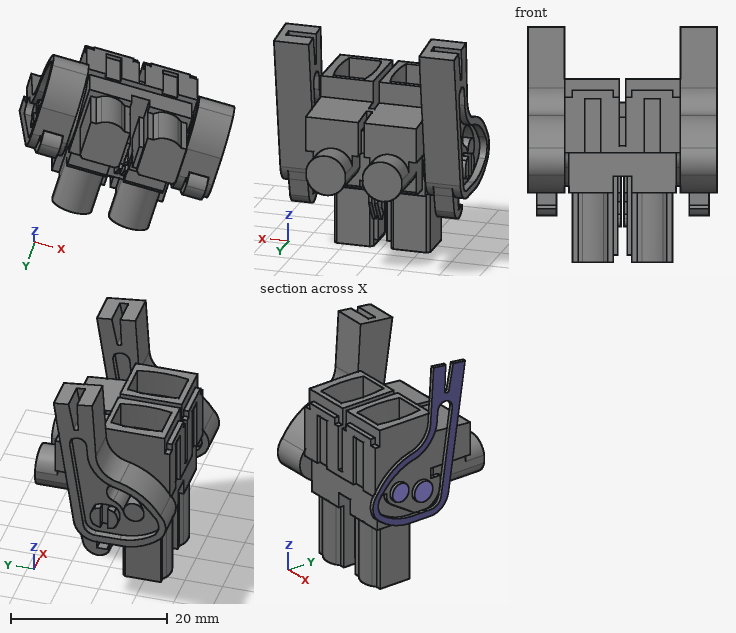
import cadquery as cq
import math


overall_width = 24.1
housing_width = 14.77
lever_width = (overall_width - housing_width) / 2
pole_offset = 3.78
pole_core_width = 5.22

flange_bottom = 0.9
base_bottom = 8.85
notch_top = 10.95
step_height = 13.95
pole_top = 23.4

base_width = 13.65
base_depth = 9.0
lip_width = 2 * pole_offset + pole_core_width
lip_rear = 11.38
lip_bottom = 9.73
lip_chamfer = 0.42
pole_rear = 8.23
block_rear = 14.55
block_bottom = 15.4
block_rear_top = 20.02
block_front_top = 20.55

front_plate_thickness = 0.7
front_plate_top = 21.05
front_tab_top = 21.95
recess_width = 2.0
recess_top = 20.83
recess_depth = 0.45

pole_gap = 0.78
gap_sill = 14.83
gap_floor = 14.4
front_wall_rear = 0.72
web_front = 10.12
web_rear = 11.0
web_bottom = 18.5
gap_rear_wall = 10.55
rear_gap_start = 13.2

wire_pocket_front = 0.78
wire_pocket_rear = 7.57
wire_pocket_end_width = 4.25
wire_pocket_mid_width = 4.98
wire_pocket_depth = 3.55

tube_rear = 17.55
tube_bottom = 10.8
tube_top = 16.15
tube_center_z = (tube_bottom + tube_top) / 2
tube_radius = (tube_top - tube_bottom) / 2

leg_rear = 5.9
leg_shoulder_y = 0.8
leg_arc_y = 0.45
leg_crest_y = 0.15
leg_bulge_half = 1.9
leg_arc_half = 1.32
leg_rear_chamfer = 0.4
notch_half = pole_offset - pole_core_width / 2
flange_thickness = 0.57
flange_front = 2.55

pivot_y = 6.7
pivot_z = 12.73
pivot_head_radius = 1.83
pivot_shaft_radius = 1.5
pivot_slot_width = 1.0
pivot_head_height = 3.05
pivot_head_crown = 3.15
spacer_pivot_radius = 3.03
spacer_guide_radius = 1.92
guide_radius = 1.35
guide_path_radius = 3.8
guide_start_angle = 165.0
guide_end_angle = 112.0

lever_pocket_depth = 1.0
finger_slot_depth = 3.65
finger_slot_mouth = 30.32
hook_inset = 1.1
hook_width = 2.55

plate_thickness = 0.42


def box(x_range, y_range, z_range):
    """Axis-aligned box between the given limits."""
    size = [high - low for low, high in (x_range, y_range, z_range)]
    corner = (x_range[0], y_range[0], z_range[0])
    return cq.Workplane("XY").box(*size, centered=False).translate(corner)


def side_sketch(x):
    """Sketch plane across X, with local coordinates (Y, Z)."""
    return cq.Workplane("YZ", origin=(x, 0, 0))


def centered(width, middle=0.0):
    """Limits of a width placed evenly about a middle."""
    return (middle - width / 2, middle + width / 2)


def disc(x_range, radius, y, z):
    """Cylinder along X between two X limits."""
    length = x_range[1] - x_range[0]
    return side_sketch(x_range[0]).center(y, z).circle(radius).extrude(length)


def guide_point(radius, angle):
    """Point (Y, Z) at a radius and angle about the pivot; 180 degrees is straight forward."""
    turn = math.radians(angle)
    return (pivot_y + radius * math.cos(turn), pivot_z + radius * math.sin(turn))


def housing_shell():
    """Upper pole block, narrower base, rear lip and rear block with a sloping top."""
    full = centered(housing_width)
    narrow = centered(base_width)
    poles = box(full, (0, pole_rear), (step_height, pole_top))
    base = box(narrow, (0, base_depth), (base_bottom, block_bottom))
    lip = box(centered(lip_width), (base_depth, lip_rear), (lip_bottom, block_bottom))
    lip = lip.faces(">Y").edges("<Z").chamfer(lip_chamfer)
    block = (
        side_sketch(full[0])
        .polyline([
            (pole_rear, block_bottom),
            (block_rear, block_bottom),
            (block_rear, block_rear_top),
            (pole_rear, block_front_top),
        ])
        .close()
        .extrude(housing_width)
    )
    return poles.union(base).union(lip).union(block)


def front_plate():
    """Raised front plate with a tab and a shallow recess on each pole."""
    depth = (-front_plate_thickness, 0)
    plate = box(centered(housing_width), depth, (step_height, front_plate_top))
    recess_range = (-front_plate_thickness, recess_depth - front_plate_thickness)
    for side in (-1, 1):
        middle = side * pole_offset
        plate = plate.union(box(centered(pole_core_width, middle), depth, (step_height, front_tab_top)))
        plate = plate.cut(box(centered(recess_width, middle), recess_range, (step_height, recess_top)))
    return plate


def pole_gap_cut():
    """Gap between the poles, leaving a web and a solid stretch behind it."""
    gap = centered(pole_gap)
    front = box(gap, (-front_plate_thickness, front_wall_rear), (gap_sill, pole_top))
    middle = box(gap, (front_wall_rear, web_front), (gap_floor, pole_top))
    under_web = box(gap, (web_front, gap_rear_wall), (gap_floor, web_bottom))
    behind_web = box(gap, (web_rear, block_rear), (web_bottom, pole_top))
    rear = box(gap, (rear_gap_start, block_rear), (block_bottom, pole_top))
    return front.union(middle).union(under_web).union(behind_web).union(rear)


def wire_pocket(middle):
    """Barrel-shaped wire entry in the top of a pole."""
    end_half = wire_pocket_end_width / 2
    mid_half = wire_pocket_mid_width / 2
    mid_y = (wire_pocket_front + wire_pocket_rear) / 2
    return (
        cq.Workplane("XY", origin=(middle, 0, pole_top - wire_pocket_depth))
        .moveTo(-end_half, wire_pocket_front)
        .lineTo(end_half, wire_pocket_front)
        .threePointArc((mid_half, mid_y), (end_half, wire_pocket_rear))
        .lineTo(-end_half, wire_pocket_rear)
        .threePointArc((-mid_half, mid_y), (-end_half, wire_pocket_front))
        .close()
        .extrude(wire_pocket_depth)
    )


def rear_tube(middle):
    """Flat-sided rear tube, with a straight neck joining it to the rear block."""
    width = centered(pole_core_width, middle)
    tube = (
        cq.Workplane("XZ", origin=(middle, tube_rear, tube_center_z))
        .circle(tube_radius)
        .extrude(tube_rear - base_depth)
        .intersect(box(width, (base_depth, tube_rear), (tube_bottom, tube_top)))
    )
    neck = box(width, (base_depth, block_rear), (tube_center_z, block_bottom))
    return tube.union(neck)


def plug_leg(middle):
    """Plug leg with a bulged front and chamfered rear corners."""
    half = pole_core_width / 2
    rear_corner = leg_rear - leg_rear_chamfer
    return (
        cq.Workplane("XY", origin=(middle, 0, 0))
        .moveTo(-half, leg_shoulder_y)
        .lineTo(-leg_bulge_half, leg_shoulder_y)
        .lineTo(-leg_arc_half, leg_arc_y)
        .threePointArc((0, leg_crest_y), (leg_arc_half, leg_arc_y))
        .lineTo(leg_bulge_half, leg_shoulder_y)
        .lineTo(half, leg_shoulder_y)
        .lineTo(half, rear_corner)
        .lineTo(half - leg_rear_chamfer, leg_rear)
        .lineTo(leg_rear_chamfer - half, leg_rear)
        .lineTo(-half, rear_corner)
        .close()
        .extrude(base_bottom)
    )


def leg_flange(side):
    """Thin flange on the inner side of a plug leg, running up into the notch."""
    inner = notch_half - flange_thickness
    x_range = sorted((side * inner, side * notch_half))
    return box(x_range, (flange_front, leg_rear - leg_rear_chamfer), (flange_bottom, notch_top))


def spacer_plate(x_range):
    """Plate rounded about the guide pin and the pivot, with vertical sides up to the pole block."""
    guide_y, guide_z = guide_point(guide_path_radius, guide_start_angle)
    lean = math.acos((spacer_pivot_radius - spacer_guide_radius) / guide_path_radius)
    tangent_turn = math.radians(guide_start_angle) + lean
    guide_arc_turn = (math.pi + tangent_turn) / 2

    def rim_point(y, z, radius, turn):
        return (y + radius * math.cos(turn), z + radius * math.sin(turn))

    return (
        side_sketch(x_range[0])
        .moveTo(guide_y - spacer_guide_radius, step_height)
        .lineTo(guide_y - spacer_guide_radius, guide_z)
        .threePointArc(
            rim_point(guide_y, guide_z, spacer_guide_radius, guide_arc_turn),
            rim_point(guide_y, guide_z, spacer_guide_radius, tangent_turn),
        )
        .lineTo(*rim_point(pivot_y, pivot_z, spacer_pivot_radius, tangent_turn))
        .threePointArc(
            (pivot_y, pivot_z - spacer_pivot_radius),
            (pivot_y + spacer_pivot_radius, pivot_z),
        )
        .lineTo(pivot_y + spacer_pivot_radius, step_height)
        .close()
        .extrude(x_range[1] - x_range[0])
    )


def snap_head(x_range):
    """Round head with a flattened, gently arched top and bottom, split by a vertical slot."""
    crown_shift = pivot_head_crown - pivot_head_height / 2
    head = disc(x_range, pivot_head_radius, pivot_y, pivot_z)
    for shift in (-crown_shift, crown_shift):
        head = head.intersect(disc(x_range, pivot_head_crown, pivot_y, pivot_z + shift))
    slot = box(x_range, centered(pivot_slot_width, pivot_y), centered(pivot_head_height, pivot_z))
    return head.cut(slot)


def lever_bearing(side):
    """Spacer, pivot and guide pin for one lever; the left pivot has a split snap head."""
    base_half = base_width / 2
    housing_half = housing_width / 2
    outer = overall_width / 2
    pin_end = outer - lever_pocket_depth if side < 0 else outer

    def span(start, end):
        return sorted((side * start, side * end))

    spacer = spacer_plate(span(base_half, housing_half))
    shaft = disc(span(base_half, pin_end), pivot_shaft_radius, pivot_y, pivot_z)
    guide = disc(span(base_half, pin_end), guide_radius, *guide_point(guide_path_radius, guide_start_angle))
    bearing = spacer.union(shaft).union(guide)
    if side < 0:
        bearing = bearing.union(snap_head(span(pin_end, outer)))
    return bearing


def make_housing():
    body = housing_shell().union(front_plate()).cut(pole_gap_cut())
    for side in (-1, 1):
        middle = side * pole_offset
        body = body.cut(wire_pocket(middle))
        body = body.union(rear_tube(middle)).union(plug_leg(middle))
    body = body.cut(box((-notch_half, notch_half), (0, lip_rear), (base_bottom, notch_top)))
    for side in (-1, 1):
        body = body.union(leg_flange(side)).union(lever_bearing(side))
    return body


def lever_outline(x):
    """Grip arm that widens into a rounded cam around the pivot."""
    return (
        side_sketch(x)
        .moveTo(13.4, 29.42)
        .lineTo(8.25, 30.02)
        .lineTo(7.78, 22.27)
        .threePointArc((6.87, 19.95), (4.65, 18.73))
        .threePointArc((1.5, 17.15), (-0.78, 14.62))
        .threePointArc((-1.5, 12.73), (-0.93, 11.15))
        .threePointArc((1.38, 9.55), (4.1, base_bottom))
        .lineTo(7.95, base_bottom)
        .threePointArc((9.73, 9.6), (10.72, 11.45))
        .close()
    )


def lever_pocket_outline(x):
    """Hollow in the lever face, following the lever outline inside a rim."""
    return (
        side_sketch(x)
        .moveTo(11.25, 23.45)
        .threePointArc((10.2, 24.6), (9.0, 23.63))
        .lineTo(8.85, 21.75)
        .threePointArc((7.75, 19.4), (5.55, 17.9))
        .threePointArc((2.4, 16.6), (0.15, 14.4))
        .threePointArc((-0.57, 12.95), (0.0, 11.45))
        .threePointArc((2.15, 10.3), (4.65, 9.85))
        .lineTo(8.05, 9.85)
        .threePointArc((9.05, 10.35), (9.5, 11.45))
        .close()
    )


def guide_slot(x, depth):
    """Curved slot about the pivot, in which the guide pin runs."""
    inner = guide_path_radius - guide_radius
    outer = guide_path_radius + guide_radius
    middle_angle = (guide_start_angle + guide_end_angle) / 2
    channel = (
        side_sketch(x)
        .moveTo(*guide_point(outer, guide_start_angle))
        .threePointArc(guide_point(outer, middle_angle), guide_point(outer, guide_end_angle))
        .lineTo(*guide_point(inner, guide_end_angle))
        .threePointArc(guide_point(inner, middle_angle), guide_point(inner, guide_start_angle))
        .close()
        .extrude(depth)
    )
    for angle in (guide_start_angle, guide_end_angle):
        channel = channel.union(disc((x, x + depth), guide_radius, *guide_point(guide_path_radius, angle)))
    return channel


def finger_slot(x):
    """Tapered slot with a round bottom, open at the top of the grip arm."""
    return (
        side_sketch(x)
        .moveTo(11.53, finger_slot_mouth)
        .lineTo(10.72, 26.05)
        .threePointArc((10.42, 25.75), (10.12, 26.05))
        .lineTo(10.3, finger_slot_mouth)
        .close()
        .extrude(finger_slot_depth)
    )


def lever_hook(x):
    """Hook below the cam, opening toward the front."""
    return (
        side_sketch(x)
        .moveTo(10.72, 11.45)
        .lineTo(10.3, 9.73)
        .lineTo(9.75, 7.38)
        .threePointArc((9.0, 6.35), (7.85, 5.95))
        .threePointArc((7.0, 6.2), (6.35, 6.85))
        .lineTo(6.48, 7.3)
        .lineTo(6.63, 7.1)
        .lineTo(7.95, 7.1)
        .lineTo(7.95, 11.45)
        .close()
        .extrude(hook_width)
    )


def make_lever(x):
    """Lever whose hollow face lies at the given X and faces -X."""
    wall_start = x + lever_pocket_depth
    wall = lever_width - lever_pocket_depth
    body = lever_outline(x).extrude(lever_width)
    body = body.union(lever_hook(x + hook_inset))
    body = body.cut(lever_pocket_outline(x).extrude(lever_pocket_depth))
    body = body.cut(finger_slot(x))
    body = body.cut(guide_slot(wall_start, wall))
    return body.cut(disc((wall_start, x + lever_width), pivot_shaft_radius, pivot_y, pivot_z))


def make_latch_plate(x):
    """Thin hooked plate hanging in the notch between the legs."""
    return (
        side_sketch(x)
        .moveTo(9.45, notch_top)
        .lineTo(7.32, notch_top)
        .lineTo(7.32, base_bottom)
        .lineTo(7.75, 7.7)
        .lineTo(7.75, 6.15)
        .lineTo(7.25, 5.6)
        .threePointArc((7.17, 5.1), (7.63, 4.53))
        .lineTo(7.85, 4.62)
        .lineTo(8.8, 6.15)
        .lineTo(9.45, 7.35)
        .close()
        .extrude(plate_thickness)
    )


housing = make_housing()
levers = [make_lever(x) for x in (-overall_width / 2, housing_width / 2)]
plate_outer = notch_half - flange_thickness
latch_plates = [make_latch_plate(x) for x in (-plate_outer, plate_outer - plate_thickness)]

result = cq.Compound.makeCompound([
    housing.solids().val(),
    *[lever.solids().val() for lever in levers],
    *[plate.solids().val() for plate in latch_plates],
])